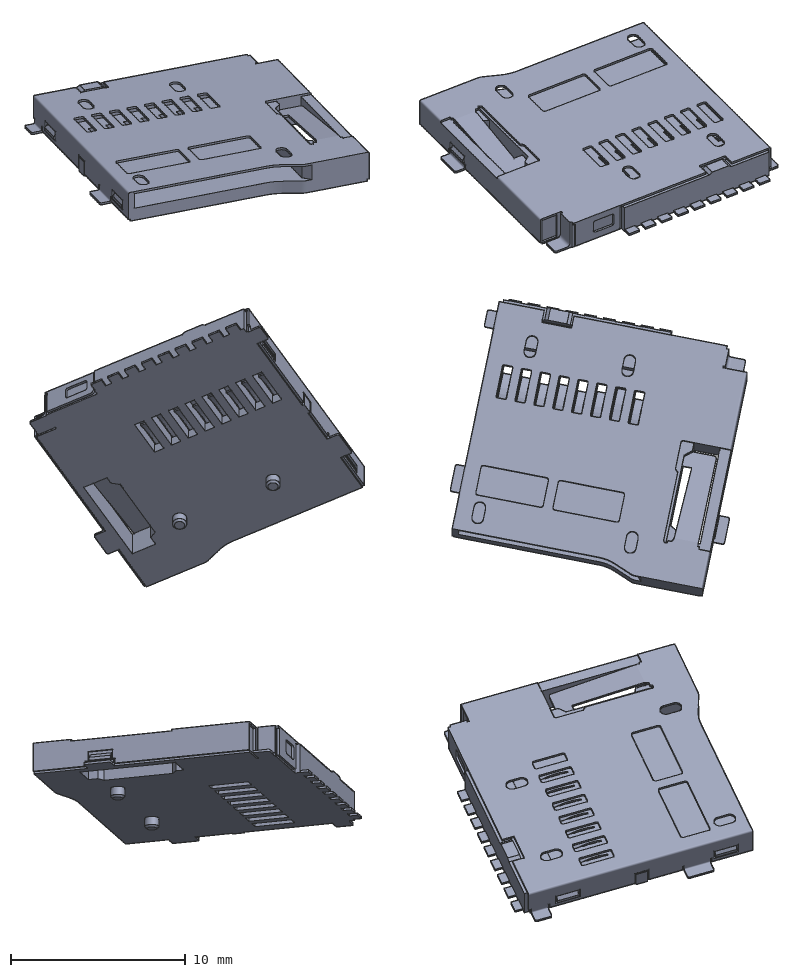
import cadquery as cq
import math

sheet = 0.13
height = 1.84
half_width = 7.37
body_top = height - sheet
body_half_width = half_width - sheet
cover_left = -6.84
right_narrow = 6.84
right_wide = 7.5
notch_x, notch_y = -5.53, 5.95
notch_recess_right = -5.4
notch_recess_front = 6.24
skirt_front = 2.8
skirt_corner = 0.2
skirt_window_y, skirt_window_z = (3.22, 4.6), (0.59, 1.42)
skirt_window_corner = 0.15
skirt_back = 5.81
wall_gap = 0.12
tab_reach = 8.0
through = 10.0

strip_left = -7.02
strip_front, strip_back = -7.13, 2.63
strip_key_y, strip_key_len, strip_key_top_len = -3.85, 1.5, 1.1
strip_key_root = 0.4
strip_key_right = -6.30
cover_key_right, cover_key_y, cover_key_len = -6.12, -3.86, 1.73

bay_floor = 0.78
bay_left = -4.59
bay_front, bay_back = -7.0, 3.35
bay_lead_in = 7.05
stop_top = 1.3
stop_left = -6.3

pitch = 1.1
window_count = 8
window_left, window_right = -3.23, -1.25
window_width = 0.6
window_corner = 0.1
body_slot_extra = 0.4
first_window_y = 1.57
beam_width = 0.48
beam_tip, tip_z = -3.05, 0.6
crest_left, crest_right, crest_z = -2.09, -1.74, 0.85
beam_bulge = 0.05
beam_shifts = [0, -0.41, 0, 0.18, 0, 0.18, 0, 0]
tail_count = 9
tail_width = 0.7
tail_end = -7.5
first_tail_y = 2.25

large_window_left, large_window_right = 2.82, 4.6
large_window_spans = [(-6.45, -2.52), (-1.95, 1.92)]
large_window_corner = 0.15
slot_centres = [(-4.59, 0.65), (-4.59, -5.05), (5.61, 2.85), (5.61, -6.05)]
slot_length, slot_width = 1.28, 0.67
edge_radius = 0.9 * sheet

latch_left, latch_right = -0.86, 5.25
latch_hinge = 4.9
latch_bar_y = 6.72
latch_wall_top = 1.3
tongue_left, tongue_back = -0.45, 6.62
tongue_drop = 0.5
tongue_corner = 0.15
latch_low_y = 4.79
latch_lip_y = 5.2
latch_hook_x, latch_ramp_x = -0.05, -0.4
ledge_left, ledge_drop = 4.1, 0.15

rear_tab = (-6.15, 1.03)
front_tab = (3.45, 1.61)
tab_slit, tab_slit_top = 0.1, 0.42
tab_corner = 0.12
side_bend, rear_bend = 0.08, 0.2
rear_left_tab_end = 7.07
catches = [(-4.44, -1, 0.05), (5.22, -1, 0), (front_tab[0], 1, 0.05)]
catch_len = 1.3
catch_low, catch_shoulder, catch_high = 0.42, 0.6, 0.8
side_window_len, side_window_low, side_window_high = 1.5, 0.36, 0.97
key_x, key_width, key_top, key_gap = 0.07, 0.7, 0.9, 0.09

peg_x, peg_y = 3.85, 3.05
peg_radius, peg_length, peg_chamfer = 0.41, 0.6, 0.12


def box(x0, x1, y0, y1, z0, z1):
    """Box from its limits along each axis."""
    return cq.Workplane("XY").box(x1 - x0, y1 - y0, z1 - z0, centered=False).translate((x0, y0, z0))


def prism(points, z0, z1):
    """Vertical prism over a closed polygon."""
    return cq.Workplane("XY").workplane(offset=z0).polyline(points).close().extrude(z1 - z0)


def outline(half, left, z0, z1):
    """Housing outline with the notched left rear corner and the widened right rear edge."""
    return (
        cq.Workplane("XY").workplane(offset=z0)
        .moveTo(left, -half)
        .lineTo(right_narrow, -half)
        .lineTo(right_narrow, 1.25)
        .threePointArc((6.89, 1.72), (7.02, 2.15))
        .lineTo(7.42, 3.12)
        .threePointArc((7.48, 3.28), (right_wide, 3.45))
        .lineTo(right_wide, half)
        .lineTo(notch_x, half)
        .lineTo(notch_x, notch_y)
        .lineTo(left, notch_y)
        .close()
        .extrude(z1 - z0)
    )


def window_y(index):
    return first_window_y - index * pitch


def make_body():
    """Plastic body: card bay, card stop, contact slots and latch well."""
    body = outline(body_half_width, cover_left + sheet, 0, body_top)
    body = body.union(box(strip_left, cover_left + sheet, strip_front, strip_back, 0, body_top))
    body = body.cut(box(bay_left, through, bay_front, bay_back, bay_floor, through))
    flare = through - bay_lead_in
    lead_in = [(bay_lead_in, bay_back), (through, bay_back), (through, bay_back + flare)]
    body = body.cut(prism(lead_in, bay_floor, through))
    body = body.cut(box(stop_left, bay_left, bay_front, bay_back, stop_top, through))
    slot_left = window_left - body_slot_extra
    for index in range(window_count):
        low = window_y(index) - window_width / 2
        body = body.cut(box(slot_left, window_right, low, low + window_width, 0, through))
    body = body.cut(box(notch_x, notch_recess_right, notch_recess_front, body_half_width, wall_gap, body_top))
    body = body.union(box(latch_left, latch_right, latch_bar_y, half_width, latch_wall_top, body_top))
    well = [
        (latch_left, latch_bar_y), (latch_hinge, latch_bar_y), (latch_hinge, latch_lip_y),
        (4.33, latch_lip_y), (ledge_left, latch_low_y), (latch_hook_x, latch_low_y),
        (latch_ramp_x, latch_lip_y), (latch_left, latch_lip_y),
    ]
    body = body.cut(box(ledge_left, latch_right, latch_low_y, latch_lip_y, body_top - ledge_drop, body_top))
    return body.cut(prism(well, 0, through))


def make_strip_key():
    """Raised block with sloped ends on the rear strip."""
    half_base, half_top = strip_key_len / 2, strip_key_top_len / 2
    return (
        cq.Workplane("YZ").workplane(offset=strip_left)
        .moveTo(strip_key_y - half_base, strip_key_root)
        .lineTo(strip_key_y + half_base, strip_key_root)
        .lineTo(strip_key_y + half_base, body_top)
        .lineTo(strip_key_y + half_top, height)
        .lineTo(strip_key_y - half_top, height)
        .lineTo(strip_key_y - half_base, body_top)
        .close()
        .extrude(strip_key_right - strip_left)
    )


def latch_opening():
    """Cutter for the latch opening in the cover top and the matching opening in the side wall."""
    top_cut = prism(
        [
            (latch_left, latch_bar_y), (5.1, latch_bar_y), (5.1, tongue_back), (latch_hinge, tongue_back),
            (latch_hinge, latch_lip_y), (5.1, 5.1), (5.1, 4.9), (latch_right, 4.85), (latch_right, 4.74),
            (5.15, 4.64), (1.03, 4.64), (0.85, 4.47), (-0.78, 4.47), (latch_left, 4.55),
        ],
        body_top, through,
    )
    return top_cut.union(box(latch_left, latch_right, latch_bar_y, through, latch_wall_top, through))


def make_tongue():
    """Spring tongue sloping down from its hinge."""
    plan = prism(
        [
            (tongue_left, tongue_back), (latch_hinge, tongue_back), (latch_hinge, latch_lip_y), (0.52, 5.35),
            (0.52, latch_low_y), (latch_hook_x, latch_low_y), (latch_ramp_x, latch_lip_y),
            (tongue_left, latch_lip_y),
        ],
        0, height,
    )
    plan = plan.edges("|Z and (<X)").edges(">Y").fillet(tongue_corner)
    slab = (
        cq.Workplane("XZ")
        .polyline([
            (latch_hinge, height), (latch_hinge, body_top),
            (tongue_left, body_top - tongue_drop), (tongue_left, height - tongue_drop),
        ])
        .close()
        .extrude(-through)
    )
    return plan.intersect(slab)


def slot_cutter(x, y, length, width):
    return (
        cq.Workplane("XY").workplane(offset=body_top).center(x, y)
        .slot2D(length, width).extrude(through)
    )


def rounded_cutter(x0, x1, y0, y1, radius):
    return box(x0, x1, y0, y1, body_top, through).edges("|Z").fillet(radius)


def make_cover():
    """Metal cover: top plate, two side walls and the left skirt."""
    cover = outline(half_width, cover_left, wall_gap, height)
    cover = cover.cut(outline(body_half_width, cover_left + sheet, wall_gap, body_top))
    cover = cover.cut(box(right_narrow, through, -half_width, body_half_width, 0, body_top))
    cover = cover.cut(box(cover_left, cover_left + sheet, -body_half_width, skirt_front, 0, body_top))
    corner = box(cover_left, cover_left + sheet, skirt_front, skirt_front + skirt_corner,
                 wall_gap, wall_gap + skirt_corner)
    rounding = (
        cq.Workplane("YZ").workplane(offset=cover_left)
        .center(skirt_front + skirt_corner, wall_gap + skirt_corner)
        .circle(skirt_corner).extrude(sheet)
    )
    cover = cover.cut(corner.cut(rounding))
    cover = cover.cut(box(cover_left, cover_left + sheet, skirt_back, notch_y, 0, body_top))
    cover = cover.faces("<Y").edges(">Z").fillet(edge_radius)
    cover = cover.faces(">Y").edges(">Z").fillet(edge_radius)
    for index in range(window_count):
        low = window_y(index) - window_width / 2
        cover = cover.cut(rounded_cutter(window_left, window_right, low, low + window_width, window_corner))
    for low, high in large_window_spans:
        cover = cover.cut(rounded_cutter(large_window_left, large_window_right, low, high, large_window_corner))
    for x, y in slot_centres:
        cover = cover.cut(slot_cutter(x, y, slot_length, slot_width))
    key_low = cover_key_y - cover_key_len / 2
    cover = cover.cut(box(cover_left, cover_key_right, key_low, key_low + cover_key_len, body_top, through))
    skirt_window = box(cover_left, cover_left + sheet, *skirt_window_y, *skirt_window_z)
    cover = cover.cut(skirt_window.edges("|X").fillet(skirt_window_corner))
    return cover.cut(latch_opening())


def tab_slits(tab, side):
    """Relief slits on both sides of a solder tab."""
    centre, width = tab
    outer, inner = side * half_width, side * body_half_width
    slits = cq.Workplane("XY")
    for edge in (centre - width / 2 - tab_slit, centre + width / 2):
        slits = slits.add(box(edge, edge + tab_slit, min(outer, inner), max(outer, inner), 0, tab_slit_top))
    return slits.combine()


def make_tab(tab, wall_y, y_end, bend):
    """Solder tab leaving a wall at wall_y through a rounded inside bend, with rounded outer corners."""
    centre, width = tab
    side = 1 if y_end > wall_y else -1
    inner_y = wall_y - side * sheet
    middle = bend * (1 - math.sqrt(0.5))
    tab_solid = (
        cq.Workplane("YZ").workplane(offset=centre - width / 2)
        .moveTo(inner_y, 0)
        .lineTo(y_end, 0)
        .lineTo(y_end, sheet)
        .lineTo(wall_y + side * bend, sheet)
        .threePointArc((wall_y + side * middle, sheet + middle), (wall_y, sheet + bend))
        .lineTo(inner_y, sheet + bend)
        .close()
        .extrude(width)
    )
    return tab_solid.faces(">Y" if side > 0 else "<Y").edges("|Z").fillet(tab_corner)


def make_catch(centre, side, proud):
    """Wedge catch of the body that fills a side wall window; proud is how far it passes the wall."""
    wall, reach = side * body_half_width, side * (half_width + proud)
    return (
        cq.Workplane("YZ").workplane(offset=centre - catch_len / 2)
        .polyline([(wall, catch_low), (reach, catch_low), (reach, catch_shoulder), (wall, catch_high)])
        .close()
        .extrude(catch_len)
    )


def side_window(centre, side):
    low, high = sorted((side * body_half_width, side * half_width))
    start = centre - side_window_len / 2
    return box(start, start + side_window_len, low, high, side_window_low, side_window_high)


def make_beam(index):
    """Contact beam: curved tip, flat crest and a slight slope to the end of its slot."""
    shift = beam_shifts[index]
    tip, crest_start, crest_end = beam_tip + shift, crest_left + shift, crest_right + shift
    middle = (tip + crest_start) / 2
    middle_z = (tip_z + crest_z) / 2 + beam_bulge
    return (
        cq.Workplane("XZ").workplane(offset=-window_y(index) - beam_width / 2)
        .moveTo(tip, tip_z)
        .threePointArc((middle, middle_z), (crest_start, crest_z))
        .lineTo(crest_end, crest_z)
        .lineTo(window_right, bay_floor)
        .lineTo(window_right, bay_floor - sheet)
        .lineTo(crest_end, crest_z - sheet)
        .lineTo(crest_start, crest_z - sheet)
        .threePointArc((middle, middle_z - sheet), (tip, tip_z - sheet))
        .close()
        .extrude(beam_width)
    )


def make_peg(y):
    """Round locating peg below the body."""
    return (
        cq.Workplane("XY").circle(peg_radius).extrude(-peg_length)
        .faces("<Z").chamfer(peg_chamfer).translate((peg_x, y, 0))
    )


def make_side_walls(cover):
    """Cut the windows, tab slits and key slot into the cover side walls."""
    for centre, side, _ in catches:
        cover = cover.cut(side_window(centre, side))
    for tab, side in ((front_tab, 1), (front_tab, -1), (rear_tab, -1)):
        cover = cover.cut(tab_slits(tab, side))
    rear_tab_left = rear_tab[0] - rear_tab[1] / 2
    cover = cover.cut(box(cover_left, rear_tab_left, -half_width, -body_half_width, 0, tab_slit_top))
    half_slot = key_width / 2 + key_gap
    slot = box(key_x - half_slot, key_x + half_slot, -half_width, -body_half_width, 0, key_top + key_gap)
    return cover.cut(slot)


def make_key():
    half_key = key_width / 2
    return box(key_x - half_key, key_x + half_key, -half_width, -body_half_width, 0, key_top)


def make_rear_flange():
    """Flange hanging from the notch edge, ending in the rear left solder tab."""
    centre, width = rear_tab
    flange_y = notch_y + sheet
    flange = box(centre - width / 2, centre + width / 2, notch_y - sheet, flange_y, 0, height)
    return flange.union(make_tab(rear_tab, flange_y, rear_left_tab_end, rear_bend))


def make_tail(index):
    low = first_tail_y - index * pitch - tail_width / 2
    return box(tail_end, strip_left, low, low + tail_width, 0, sheet)


result = make_body().union(make_strip_key()).union(make_side_walls(make_cover()))
result = result.union(make_tongue()).union(make_key()).union(make_rear_flange())
for tab, side in ((front_tab, 1), (front_tab, -1), (rear_tab, -1)):
    result = result.union(make_tab(tab, side * half_width, side * tab_reach, side_bend))
for centre, side, proud in catches:
    result = result.union(make_catch(centre, side, proud))
for index in range(window_count):
    result = result.union(make_beam(index))
for index in range(tail_count):
    result = result.union(make_tail(index))
for y in (-peg_y, peg_y):
    result = result.union(make_peg(y))